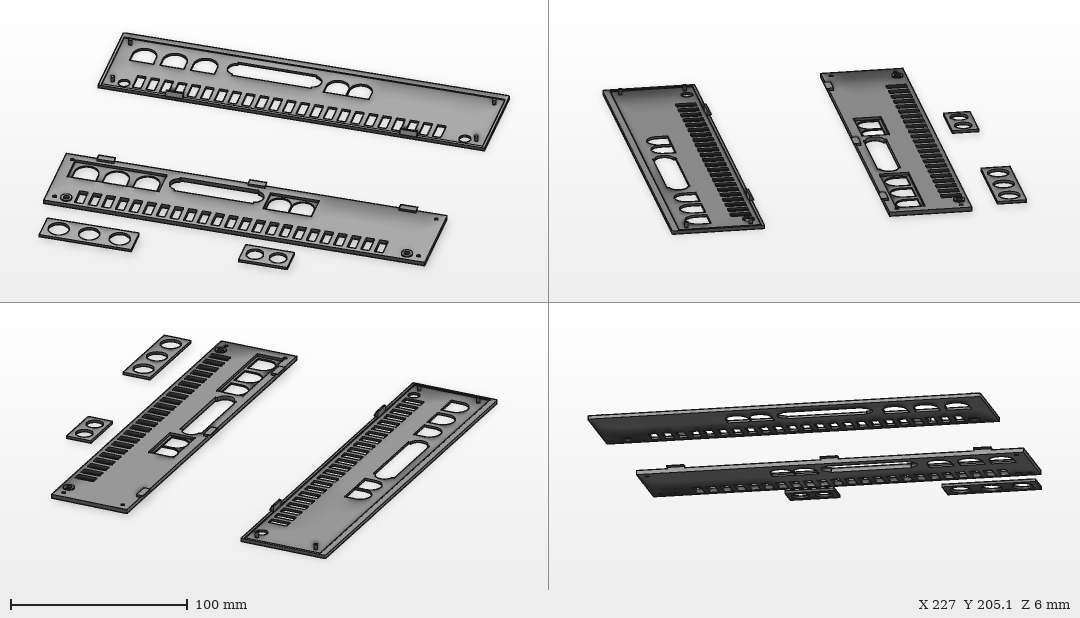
import cadquery as cq
cover_length = 227.0
cover_width = 53.0
cover_thickness = 2.0
cover_corner_radius = 1.1
recess_floor = 1.4
side_rim = 1.5
top_rim = 4.0

panel_length = cover_length - 2 * side_rim
panel_width = cover_width - side_rim - top_rim
panel_bottom = 2.0
panel_thickness = 2.5
panel_top = panel_bottom + panel_thickness
panel_shift = -121.0

hook_top = 6.0

pin_x = 107.0
pin_low_y = 6.8
pin_high_y = pin_low_y + 37.0
pin_diameter = 2.0
pin_hole_diameter = 2.2
pin_top = 4.5
pin_points = [(side * pin_x, y) for side in (-1, 1) for y in (pin_low_y, pin_high_y)]

screw_x = 100.0
screw_hole_diameter = 6.8
boss_diameter = 6.4
boss_hole_diameter = 3.5
boss_height = 0.7
screw_points = [(side * screw_x, pin_low_y) for side in (-1, 1)]

vent_count = 23
vent_pitch = 8.01
vent_first_x = -92.2
vent_width = 5.0
vent_height = 11.5
vent_y = 10.0
vent_corner_radius = 0.4

arch_y = 35.5
arch_floor_y = 28.8
large_arch_diameter = 14.0
large_first_x = -96.2
large_pitch = 18.0
large_centers = [large_first_x + i * large_pitch for i in range(3)]
small_arch_diameter = 13.2
small_first_x = 17.3
small_pitch = 13.6
small_centers = [small_first_x + i * small_pitch for i in range(2)]

connector_x = -20.2
connector_y = 37.0
connector_length = 46.3
connector_height = 13.2
connector_end_diameter = 11.0
connector_end_spacing = 44.3

insert_thickness = 1.5
insert_bottom = 2.7
large_insert_length = 54.0
large_insert_width = 16.8
large_insert_hole = 12.0
large_insert_y = -143.7
small_insert_length = 28.5
small_insert_width = 15.2
small_insert_hole = 10.0
small_insert_y = -137.3
pocket_floor_y = 27.2
small_pocket_width = 16.0

clip_length = 10.0
barb_x = 68.8
barb_top = 5.2
barb_tip_height = 2.5
barb_root_height = 2.3
barb_reach = 1.0
barb_top_setback = 0.5
hook_center_x = 0.5
hook_spacing = 88.8
hook_depth = 2.5
hook_reach = 1.5
hook_tip_thickness = 0.2
hook_root_thickness = 0.7


def block(x0, x1, y0, y1, z0, z1):
    return cq.Workplane("XY").box(x1 - x0, y1 - y0, z1 - z0, centered=False).translate((x0, y0, z0))


def cylinders(points, diameter, z0, z1):
    return cq.Workplane("XY").workplane(offset=z0).pushPoints(points).circle(diameter / 2).extrude(z1 - z0)


def clip(profile, x):
    """A clip with the given (y, z) profile, centred on x."""
    return cq.Workplane("YZ").polyline(profile).close().extrude(clip_length / 2, both=True).translate((x, 0, 0))


def middle(centers):
    return sum(centers) / len(centers)


def cut_vents(plate):
    points = [(vent_first_x + i * vent_pitch, vent_y) for i in range(vent_count)]
    vents = cq.Workplane("XY").pushPoints(points).rect(vent_width, vent_height).extrude(hook_top)
    return plate.cut(vents.edges("|Z").fillet(vent_corner_radius))


def cut_connector(plate):
    center = cq.Workplane("XY").center(connector_x, connector_y)
    plate = plate.cut(center.rect(connector_length, connector_height).extrude(hook_top))
    ends = [(connector_x + side * connector_end_spacing / 2, connector_y) for side in (-1, 1)]
    return plate.cut(cylinders(ends, connector_end_diameter, 0, hook_top))


def cut_arches(plate, centers, diameter):
    radius = diameter / 2
    for x in centers:
        arch = (
            cq.Workplane("XY")
            .moveTo(x - radius, arch_floor_y)
            .lineTo(x + radius, arch_floor_y)
            .lineTo(x + radius, arch_y)
            .threePointArc((x, arch_y + radius), (x - radius, arch_y))
            .close()
            .extrude(hook_top)
        )
        plate = plate.cut(arch)
    return plate


def cut_openings(plate):
    """Openings shared by the cover and the backing panel."""
    plate = cut_vents(plate)
    plate = cut_connector(plate)
    plate = cut_arches(plate, large_centers, large_arch_diameter)
    return cut_arches(plate, small_centers, small_arch_diameter)


def make_cover():
    half = cover_length / 2
    cover = block(-half, half, 0, cover_width, 0, cover_thickness)
    cover = cover.edges("|Z and >Y").fillet(cover_corner_radius)
    inner_half = panel_length / 2
    recess_top_y = cover_width - top_rim
    cover = cover.cut(block(-inner_half, inner_half, side_rim, recess_top_y, recess_floor, cover_thickness))
    cover = cut_openings(cover)
    cover = cover.cut(cylinders(screw_points, screw_hole_diameter, 0, cover_thickness))
    cover = cover.union(cylinders(pin_points, pin_diameter, 0, pin_top))
    barb_profile = [
        (0, recess_floor),
        (0, barb_root_height),
        (-barb_reach, barb_tip_height),
        (barb_top_setback, barb_top),
        (side_rim, barb_top),
        (side_rim, recess_floor),
    ]
    for side in (-1, 1):
        cover = cover.union(clip(barb_profile, side * barb_x))
    return cover


def cut_pocket(panel, centers, length, width):
    x = middle(centers)
    pocket_top_y = pocket_floor_y + width
    floor = panel_top - insert_thickness
    return panel.cut(block(x - length / 2, x + length / 2, pocket_floor_y, pocket_top_y, floor, panel_top))


def make_panel():
    half = panel_length / 2
    top_y = side_rim + panel_width
    panel = block(-half, half, side_rim, top_y, panel_bottom, panel_top)
    panel = cut_openings(panel)
    panel = panel.cut(cylinders(pin_points, pin_hole_diameter, panel_bottom, panel_top))
    panel = cut_pocket(panel, large_centers, large_insert_length, large_insert_width)
    panel = cut_pocket(panel, small_centers, small_insert_length, small_pocket_width)
    panel = panel.union(cylinders(screw_points, boss_diameter, panel_bottom, panel_top + boss_height))
    panel = panel.cut(cylinders(screw_points, boss_hole_diameter, 0, hook_top))
    hook_profile = [
        (top_y - hook_depth, panel_top),
        (top_y - hook_depth, hook_top),
        (top_y + hook_reach, hook_top),
        (top_y + hook_reach, hook_top - hook_tip_thickness),
        (top_y, hook_top - hook_root_thickness),
        (top_y, panel_top),
    ]
    for i in (-1, 0, 1):
        panel = panel.union(clip(hook_profile, hook_center_x + i * hook_spacing))
    return panel.translate((0, panel_shift, 0))


def make_insert(centers, length, width, hole_diameter, y):
    x = middle(centers)
    top = insert_bottom + insert_thickness
    insert = block(x - length / 2, x + length / 2, y - width / 2, y + width / 2, insert_bottom, top)
    return insert.cut(cylinders([(c, y) for c in centers], hole_diameter, insert_bottom, top))


cover = make_cover()
panel = make_panel()
large_insert = make_insert(
    large_centers, large_insert_length, large_insert_width, large_insert_hole, large_insert_y
)
small_insert = make_insert(
    small_centers, small_insert_length, small_insert_width, small_insert_hole, small_insert_y
)

result = cq.Compound.makeCompound([cover.val(), panel.val(), large_insert.val(), small_insert.val()])